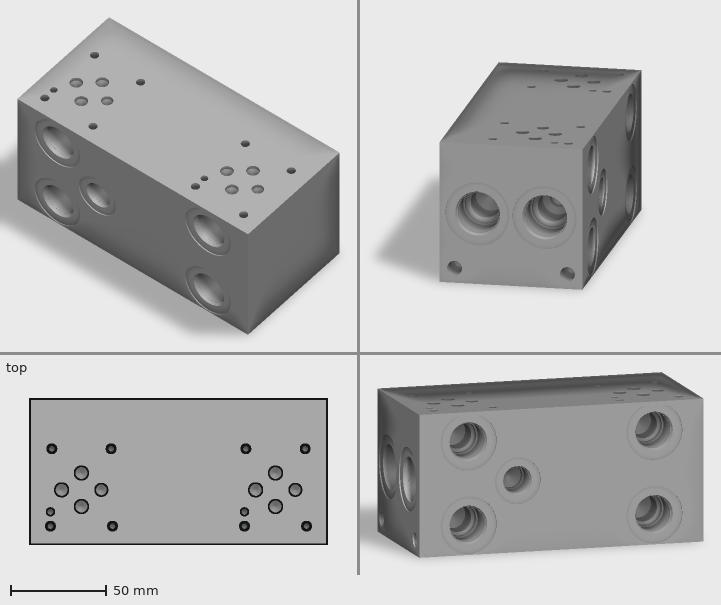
import cadquery as cq
import math

LENGTH = 155.57
WIDTH = 76.2
HEIGHT = 76.2
LEFT_FACE = -LENGTH / 2
FRONT_FACE = -WIDTH / 2
TOP_FACE = HEIGHT / 2

DRILL_POINT_ANGLE = 118.0
POINT_SLOPE = 1 / math.tan(math.radians(DRILL_POINT_ANGLE / 2))

SPOTFACE_DEPTH = 0.7
SEAT_DEPTH = 2.8
PRESSURE_SEAT_LAND = 0.8

WORK_PORT = dict(spotface=30.63, seat=20.6, seat_end=19.25, thread=19.05, tap_drill=17.5,
                 thread_depth=15.0, tap_depth=18.0)
WORK_BORE_DIAMETER = 14.3
WORK_BORE_DEPTH = 30.0

MAIN_PORT = dict(spotface=34.14, seat=23.95, seat_end=22.55, thread=22.23, tap_drill=20.45,
                 thread_depth=17.0, tap_depth=20.0)
MAIN_BORE_DIAMETER = 15.88
MAIN_BORE_DEPTH = 35.0
PRESSURE_PILOT_DIAMETER = 9.1
PRESSURE_PILOT_DEPTH = 42.0

GAUGE_PORT = dict(spotface=24.9, seat=15.6, seat_end=14.5, thread=14.28, tap_drill=12.9,
                  thread_depth=13.0, tap_depth=16.0)

STATION_PITCH = 101.6
STATION_CENTERS = (-STATION_PITCH / 2, STATION_PITCH / 2)
WORK_PORT_OFFSET = 22.225
MAIN_PORT_OFFSET = 17.9
GAUGE_PORT_X = -23.9

END_HOLE_INSET = 7.95
END_THREAD_DIAMETER = 7.92
END_TAP_DIAMETER = 6.53
END_THREAD_DEPTH = 12.0
END_TAP_DEPTH = 14.0

VALVE_BOLTS = ((0, 0), (0, 31.0), (40.5, -0.75), (40.5, 31.75))
VALVE_PASSAGES = ((12.7, 15.5), (30.2, 15.5), (21.5, 25.9))
VALVE_TANK = (21.5, 5.1)
VALVE_PIN = (33.0, 31.75)
PATTERN_MIDDLE_ACROSS = 15.5
FIRST_BOLT_Y = 12.0

BOLT_THREAD_DIAMETER = 4.83
BOLT_TAP_DIAMETER = 3.79
BOLT_THREAD_DEPTH = 12.0
BOLT_TAP_DEPTH = 15.0
PASSAGE_DIAMETER = 7.14
TANK_PASSAGE_DIAMETER = 6.53
PASSAGE_DEPTH = 2.0
PIN_DIAMETER = 4.0
PIN_DEPTH = 5.0


def bore_profile(steps):
    """(radius, depth) points of straight bores, each ending in a drill point.

    steps lists (diameter, depth) from the widest bore to the narrowest; the
    drill point of each bore runs down to the next bore, or to the axis.
    """
    points = []
    inner_radii = [diameter / 2 for diameter, _ in steps[1:]] + [0]
    for (diameter, depth), inner_radius in zip(steps, inner_radii):
        radius = diameter / 2
        points.append((radius, depth))
        points.append((inner_radius, depth + (radius - inner_radius) * POINT_SLOPE))
    return points


def revolve_cutter(points):
    """Solid of revolution about Z, running down from Z = 0."""
    outline = [(0, 0)] + [(radius, -depth) for radius, depth in points]
    return cq.Workplane("XZ").polyline(outline).close().revolve(360, (0, 0), (0, 1))


def plain_hole(diameter, depth):
    return revolve_cutter([(diameter / 2, 0)] + bore_profile([(diameter, depth)]))


def tapped_hole(thread, thread_depth, tap_drill, tap_depth):
    points = [
        (thread / 2, 0),
        (thread / 2, thread_depth),
        (tap_drill / 2, thread_depth),
    ]
    return revolve_cutter(points + bore_profile([(tap_drill, tap_depth)]))


def oring_port(port, inner_bores=(), land=0.0):
    """Spotface, tapered seat, optional land, thread, tap drill, then any narrower bores."""
    spotface, seat, seat_end, thread, tap_drill = (
        port[name] / 2 for name in ("spotface", "seat", "seat_end", "thread", "tap_drill")
    )
    points = [
        (spotface, 0),
        (spotface, SPOTFACE_DEPTH),
        (seat, SPOTFACE_DEPTH),
        (seat_end, SEAT_DEPTH),
    ]
    if land > 0:
        points.append((seat_end, SEAT_DEPTH + land))
    points += [
        (thread, SEAT_DEPTH + land),
        (thread, port["thread_depth"]),
        (tap_drill, port["thread_depth"]),
    ]
    bores = [(port["tap_drill"], port["tap_depth"]), *inner_bores]
    return revolve_cutter(points + bore_profile(bores))


def on_front(cutter, x, z):
    return cutter.rotate((0, 0, 0), (1, 0, 0), 90).translate((x, FRONT_FACE, z))


def on_left(cutter, y, z):
    return cutter.rotate((0, 0, 0), (0, 1, 0), -90).translate((LEFT_FACE, y, z))


def on_station(cutter, station_x, place):
    along, across = place
    x = station_x + PATTERN_MIDDLE_ACROSS - across
    return cutter.translate((x, FIRST_BOLT_Y - along, TOP_FACE))


def front_cutters():
    work_port = oring_port(WORK_PORT, [(WORK_BORE_DIAMETER, WORK_BORE_DEPTH)])
    cutters = [on_front(oring_port(GAUGE_PORT), GAUGE_PORT_X, 0)]
    for x in STATION_CENTERS:
        for z in (-WORK_PORT_OFFSET, WORK_PORT_OFFSET):
            cutters.append(on_front(work_port, x, z))
    return cutters


def left_cutters():
    main_bore = (MAIN_BORE_DIAMETER, MAIN_BORE_DEPTH)
    pressure_pilot = (PRESSURE_PILOT_DIAMETER, PRESSURE_PILOT_DEPTH)
    tank_port = oring_port(MAIN_PORT, [main_bore])
    pressure_port = oring_port(MAIN_PORT, [main_bore, pressure_pilot], PRESSURE_SEAT_LAND)
    cutters = [
        on_left(tank_port, MAIN_PORT_OFFSET, 0),
        on_left(pressure_port, -MAIN_PORT_OFFSET, 0),
    ]
    end_hole = tapped_hole(END_THREAD_DIAMETER, END_THREAD_DEPTH, END_TAP_DIAMETER, END_TAP_DEPTH)
    end_hole_y = WIDTH / 2 - END_HOLE_INSET
    end_hole_z = END_HOLE_INSET - HEIGHT / 2
    for y in (-end_hole_y, end_hole_y):
        cutters.append(on_left(end_hole, y, end_hole_z))
    return cutters


def station_cutters(station_x):
    bolt = tapped_hole(BOLT_THREAD_DIAMETER, BOLT_THREAD_DEPTH, BOLT_TAP_DIAMETER, BOLT_TAP_DEPTH)
    passage = plain_hole(PASSAGE_DIAMETER, PASSAGE_DEPTH)
    cutters = [on_station(bolt, station_x, place) for place in VALVE_BOLTS]
    cutters += [on_station(passage, station_x, place) for place in VALVE_PASSAGES]
    tank_passage = plain_hole(TANK_PASSAGE_DIAMETER, PASSAGE_DEPTH)
    cutters.append(on_station(tank_passage, station_x, VALVE_TANK))
    cutters.append(on_station(plain_hole(PIN_DIAMETER, PIN_DEPTH), station_x, VALVE_PIN))
    return cutters


all_cutters = front_cutters() + left_cutters()
for station_center in STATION_CENTERS:
    all_cutters += station_cutters(station_center)

result = cq.Workplane("XY").box(LENGTH, WIDTH, HEIGHT)
for hole_cutter in all_cutters:
    result = result.cut(hole_cutter)